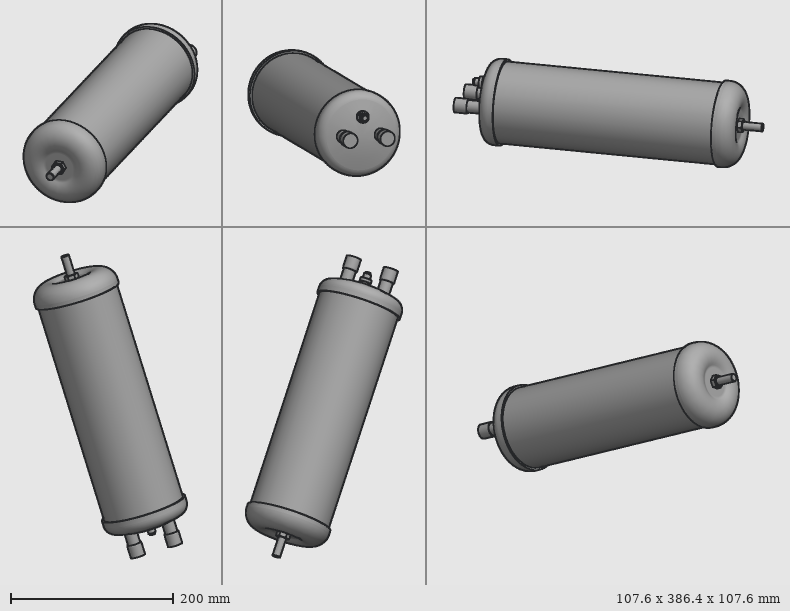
import cadquery as cq
import math


total_length = 386.4
cap_radius = 107.6 / 2
shell_radius = 102.0 / 2

front_crest_y = 26.3
front_ring_radius = 20.8
front_lip_y = 45.9
front_lip_length = 6.0
floor_radius = 18.2
floor_blend_outer_radius = 21.7

rear_crown_y = total_length - 29.2
rear_lip_length = 7.0
rear_cap_depth = 19.2
rim_radius = 13.2

port_offset = 24.0
stub_radius = 15.9 / 2
socket_radius = 18.6 / 2
socket_length = 14.2
socket_taper_length = 2.1
socket_step_radius = 17.8 / 2

collar_radius = 14.6 / 2
collar_length = 4.4
neck_radius = 9.6 / 2
valve_tip_y = total_length - 16.5
valve_tip_radius = 7.0 / 2
valve_tip_length = 2.2
valve_body_length = 6.3

drain_nut_front_y = 24.8
nut_across_flats = 14.8
nut_face_radius = 14.6 / 2
nut_bevel_reach = 2.0
nut_bevel_depth = 1.2
drain_pipe_radius = 10.0 / 2
drain_pipe_bevel = 0.5

ring_center_y = front_crest_y + front_ring_radius
ring_center_radius = cap_radius - math.sqrt(
    front_ring_radius ** 2 - (ring_center_y - front_lip_y) ** 2
)
shell_front_y = front_lip_y + front_lip_length
blend_angle = math.asin((ring_center_radius - floor_blend_outer_radius) / front_ring_radius)
blend_start_y = ring_center_y - front_ring_radius * math.cos(blend_angle)
floor_blend_radius = (floor_blend_outer_radius - floor_radius) / math.sin(blend_angle)
floor_y = blend_start_y + floor_blend_radius * (1 - math.cos(blend_angle))

rim_center_y = rear_crown_y - rear_cap_depth
rim_center_radius = cap_radius - rim_radius
shell_rear_y = rim_center_y - rear_lip_length
dome_radius = (rim_center_radius ** 2 + rear_cap_depth ** 2 - rim_radius ** 2) / (
    2 * (rear_cap_depth - rim_radius)
)
dome_center_y = rear_crown_y - dome_radius
dome_edge_angle = math.asin(rim_center_radius / (dome_radius - rim_radius))


def on_arc(center_radius, center_y, arc_radius, angle):
    """Point (distance from axis, Y) on an arc; the angle runs from +Y outward."""
    return (
        center_radius + arc_radius * math.sin(angle),
        center_y + arc_radius * math.cos(angle),
    )


def cylinder(radius, start_y, end_y, x=0, z=0):
    """Round bar along Y between two Y positions."""
    plane = cq.Plane(origin=(x, start_y, z), xDir=(1, 0, 0), normal=(0, 1, 0))
    return cq.Workplane(plane).circle(radius).extrude(end_y - start_y)


def revolve_about_y(profile):
    return profile.close().revolve(360, (0, 0, 0), (0, 1, 0))


def make_front_cap():
    blend_center_y = floor_y - floor_blend_radius
    blend_middle = on_arc(floor_radius, blend_center_y, floor_blend_radius, blend_angle / 2)
    crest = (ring_center_radius, front_crest_y)
    return revolve_about_y(
        cq.Workplane("XY")
        .moveTo(0, shell_front_y)
        .lineTo(0, floor_y)
        .lineTo(floor_radius, floor_y)
        .threePointArc(blend_middle, (floor_blend_outer_radius, blend_start_y))
        .threePointArc(crest, (cap_radius, front_lip_y))
        .lineTo(cap_radius, shell_front_y)
    )


def make_rear_cap_blank():
    """Rear cap before the seats for the stubs and the valve are cut."""
    rim_middle_angle = (math.pi / 2 + dome_edge_angle) / 2
    return revolve_about_y(
        cq.Workplane("XY")
        .moveTo(0, shell_rear_y)
        .lineTo(cap_radius, shell_rear_y)
        .lineTo(cap_radius, rim_center_y)
        .threePointArc(
            on_arc(rim_center_radius, rim_center_y, rim_radius, rim_middle_angle),
            on_arc(0, dome_center_y, dome_radius, dome_edge_angle),
        )
        .threePointArc(
            on_arc(0, dome_center_y, dome_radius, dome_edge_angle / 2),
            (0, rear_crown_y),
        )
    )


def make_stub(x):
    """Pipe stub with a wider socket at its outer end, slightly tapered before the step to the pipe."""
    socket_start_y = total_length - socket_length
    taper_start_y = socket_start_y - socket_taper_length
    pipe = cylinder(stub_radius, rim_center_y, taper_start_y, x)
    socket_end = cq.Plane(origin=(x, socket_start_y, 0), xDir=(1, 0, 0), normal=(0, -1, 0))
    taper = (
        cq.Workplane(socket_end)
        .circle(socket_radius)
        .workplane(offset=socket_taper_length)
        .circle(socket_step_radius)
        .loft()
    )
    socket = cylinder(socket_radius, socket_start_y, total_length, x)
    return pipe.union(taper).union(socket)


def make_valve():
    tip_start_y = valve_tip_y - valve_tip_length
    body_start_y = tip_start_y - valve_body_length
    collar_start_y = body_start_y - collar_length
    neck = cylinder(neck_radius, rim_center_y, collar_start_y, z=port_offset)
    collar = cylinder(collar_radius, collar_start_y, body_start_y, z=port_offset)
    body = cylinder(neck_radius, body_start_y, tip_start_y, z=port_offset)
    tip = cylinder(valve_tip_radius, tip_start_y, valve_tip_y, z=port_offset)
    return neck.union(collar).union(body).union(tip)


def make_drain():
    """Drain pipe with a beveled end and a hexagonal nut on the cap floor."""
    nut_length = floor_y - drain_nut_front_y
    nut_plane = cq.Plane(origin=(0, drain_nut_front_y, 0), xDir=(1, 0, 0), normal=(0, 1, 0))
    nut_across_corners = nut_across_flats / math.cos(math.pi / 6)
    nut = cq.Workplane(nut_plane).polygon(6, nut_across_corners).extrude(nut_length)
    bevel_outer_radius = nut_face_radius + nut_bevel_reach
    bevel_disk = (
        cylinder(bevel_outer_radius, drain_nut_front_y, floor_y)
        .faces("<Y")
        .chamfer(nut_bevel_depth, nut_bevel_reach)
    )
    pipe = cylinder(drain_pipe_radius, 0, drain_nut_front_y).faces("<Y").chamfer(drain_pipe_bevel)
    return nut.intersect(bevel_disk).union(pipe)


shell = cylinder(shell_radius, shell_front_y, shell_rear_y)
front_cap = make_front_cap()
drain = make_drain()
stubs = [make_stub(side * port_offset) for side in (-1, 1)]
valve = make_valve()

rear_cap = make_rear_cap_blank()
for fitting in [*stubs, valve]:
    rear_cap = rear_cap.cut(fitting)

result = cq.Compound.makeCompound(
    [
        shell.val(),
        front_cap.val(),
        rear_cap.val(),
        *[stub.val() for stub in stubs],
        valve.val(),
        drain.val(),
    ]
)